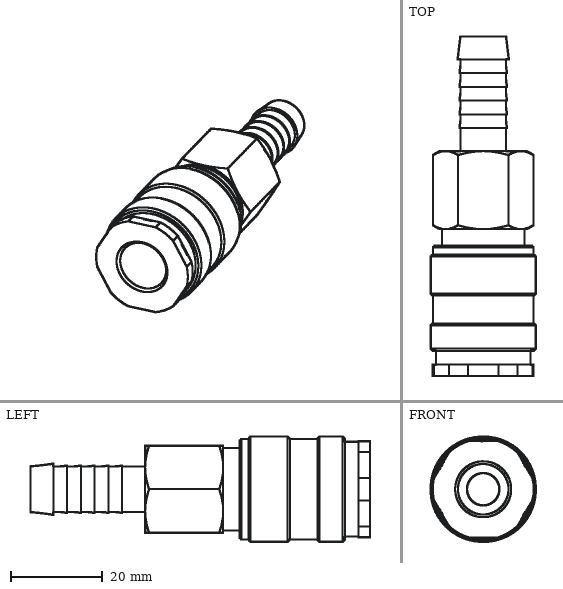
import cadquery as cq
import math


flange_radius = 11.0
flange_flats = 21.0
flange_length = 2.5
front_neck_radius = 10.35
front_neck_length = 3.0

band_radius = 11.5
sleeve_chamfer = 0.5
waist_radius = band_radius - sleeve_chamfer
front_band_length = 6.0
waist_length = 6.0
rear_band_length = 9.0
collar_length = 2.0
rear_neck_radius = 9.0
rear_neck_length = 3.5

hexagon_half_angle = math.radians(30)

nut_flats = 19.0
nut_length = 17.0
nut_face_radius = 9.5
nut_chamfer_angle = math.radians(30)
nut_envelope_radius = 12.0

stem_radius = 5.0
stem_length = 5.0
barb_radius = 5.2
barb_length = 1.5
barb_pitch = 2 * barb_length
barb_count = 5
tip_radius = 5.6
tip_length = 5.0

socket_radius = 5.5
mouth_chamfer = 0.6
socket_depth = 20.0
bore_radius = 3.5

flange_end = flange_length
front_band_start = flange_end + front_neck_length
front_band_end = front_band_start + front_band_length
rear_band_start = front_band_end + waist_length
rear_band_end = rear_band_start + rear_band_length
collar_end = rear_band_end + collar_length
nut_start = collar_end + rear_neck_length
nut_end = nut_start + nut_length
barbs_start = nut_end + stem_length
tip_start = barbs_start + barb_count * barb_pitch
total_length = tip_start + tip_length


def revolve_profile(outline):
    """Turn a closed (radius, y) outline about the Y axis."""
    return cq.Workplane("XY").polyline(outline).close().revolve(360.0, (0, 0, 0), (0, 1, 0))


def cylinder(radius, start, end):
    """Solid cylinder along Y between two stations."""
    return revolve_profile([(0, start), (radius, start), (radius, end), (0, end)])


def hexagon_bar(across_flats, start, end):
    """Hexagonal bar along Y with two flats facing +Z and -Z."""
    across_corners = across_flats / math.cos(hexagon_half_angle)
    bar = cq.Workplane("XZ").polygon(6, across_corners).extrude(start - end)
    return bar.translate((0, start, 0))


def make_flange():
    """Mouth flange with six wrench flats cut into its rim."""
    disc = cylinder(flange_radius, 0, flange_end)
    return disc.intersect(hexagon_bar(flange_flats, 0, flange_end))


def make_sleeve():
    """Front neck, banded locking sleeve and rear neck."""
    return revolve_profile([
        (0, flange_end),
        (front_neck_radius, flange_end),
        (front_neck_radius, front_band_start),
        (waist_radius, front_band_start),
        (band_radius, front_band_start + sleeve_chamfer),
        (band_radius, front_band_end - sleeve_chamfer),
        (waist_radius, front_band_end),
        (waist_radius, rear_band_start),
        (band_radius, rear_band_start + sleeve_chamfer),
        (band_radius, rear_band_end - sleeve_chamfer),
        (waist_radius, rear_band_end),
        (waist_radius, collar_end - sleeve_chamfer),
        (waist_radius - sleeve_chamfer, collar_end),
        (rear_neck_radius, collar_end),
        (rear_neck_radius, nut_start),
        (0, nut_start),
    ])


def make_nut():
    """Hexagon trimmed by a coned cylinder that clears its corners."""
    cone_length = (nut_envelope_radius - nut_face_radius) * math.tan(nut_chamfer_angle)
    envelope = revolve_profile([
        (0, nut_start),
        (nut_face_radius, nut_start),
        (nut_envelope_radius, nut_start + cone_length),
        (nut_envelope_radius, nut_end - cone_length),
        (nut_face_radius, nut_end),
        (0, nut_end),
    ])
    return hexagon_bar(nut_flats, nut_start, nut_end).intersect(envelope)


def make_hose_tail():
    """Stem with ring barbs, each steep towards the nut, and a tapered tip."""
    outline = [(0, nut_end), (stem_radius, nut_end)]
    for index in range(barb_count):
        barb_start = barbs_start + index * barb_pitch
        outline += [
            (stem_radius, barb_start),
            (barb_radius, barb_start),
            (stem_radius, barb_start + barb_length),
        ]
    outline += [
        (stem_radius, tip_start),
        (tip_radius, tip_start),
        (stem_radius, total_length),
        (0, total_length),
    ]
    return revolve_profile(outline)


def make_bore():
    """Volume removed along the axis."""
    return revolve_profile([
        (0, 0),
        (socket_radius + mouth_chamfer, 0),
        (socket_radius, mouth_chamfer),
        (socket_radius, socket_depth),
        (bore_radius, socket_depth),
        (bore_radius, total_length),
        (0, total_length),
    ])


body = make_flange().union(make_sleeve()).union(make_nut()).union(make_hose_tail())
result = body.cut(make_bore())